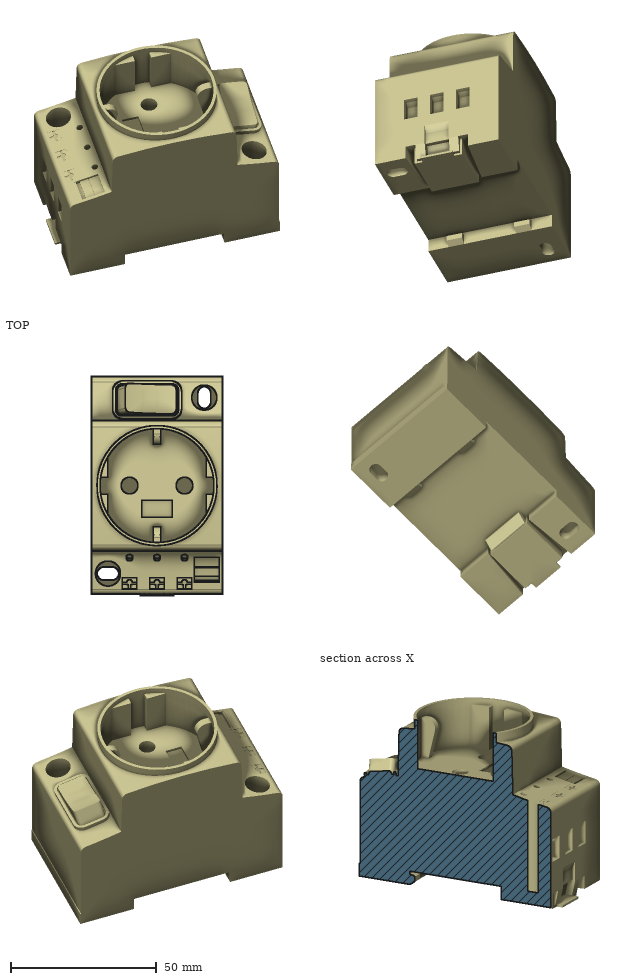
import cadquery as cq
import math

WIDTH = 45.0
BACK_FOOT_Y = 37.6
SHOULDER_END_Y = 37.3
FRONT_Y = -SHOULDER_END_Y
SHOULDER_END_Z = 35.9
SHOULDER_ROOT_Z = 38.65
SHOULDER_SAG = 0.15
TOWER_BASE_Y = 22.5
TOWER_TOP_Y = 22.05
TOWER_EDGE_Z = 55.9
CROWN_Z = 57.15
EDGE_RADIUS = 2.05
RAIL_HALF_WIDTH = 17.8
RAIL_HEIGHT = 4.75

RING_RADIUS = 20.6
CUP_RADIUS = 19.55
RING_TOP_Z = 59.85
CUP_DEPTH = 17.5
CUP_FLOOR_Z = RING_TOP_Z - CUP_DEPTH
PIN_RADIUS = 2.9
PIN_X = 9.4
PIN_DEPTH = 9.05
SHUTTER_SIZE = (10.4, 5.9)
SHUTTER_Y = -8.0
SHUTTER_DEPTH = 1.0
EARTH_WIDTH = 2.6
EARTH_TOP_Z = 56.6
EARTH_NOSE_Y = 14.2
EARTH_RADIUS = 3.55
EARTH_FOOT_Y = 16.8
RIB_FACE_X = 16.8
RIB_TOP_Z = 57.7
RIB_GAP = 5.8

MOUNT_FRONT = (-16.8, -30.2, 0)
MOUNT_BACK = (16.2, 30.2, 90)
MOUNT_BORE_RADIUS = 4.3
MOUNT_SLOT = (7.4, 4.4)
MOUNT_FLOOR_Z = RAIL_HEIGHT

POLE_PITCH = 9.4
LAMP_Y = -24.75
LAMP_RADIUS = 1.1
LAMP_DEPTH = 4.5
SCREW_Y = (-35.55, -31.6)
SCREW_WIDTH = 4.9
SCREW_RECESS = 0.2
DRIVE_DEPTH = 0.5
DRIVE_SLOT = 0.75
DRIVE_SLOT_Y = -33.6
DRIVE_HUB_Y = -33.35
DRIVE_HUB_RADIUS = 1.0
WIRE_SIZE = (4.9, 8.1)
WIRE_LIP_SIZE = (4.6, 7.55)
WIRE_END_SIZE = (4.5, 5.3)
WIRE_Z = 20.4
WIRE_LIP_DEPTH = 1.4
WIRE_FUNNEL_DEPTH = 1.65

WINDOW_X = (12.8, 21.35)
WINDOW_BANDS = [
    (-28.1, -24.7, 0.9),
    (-28.4, -28.1, 1.1),
    (-31.3, -28.4, 0.9),
    (-32.7, -31.3, 1.4),
    (-33.2, -32.7, 0.3),
]

SWITCH_X = -3.4
SWITCH_Y = 29.2
SWITCH_FRAME = (23.6, 13.1)
SWITCH_FRAME_RADIUS = 3.4
SWITCH_FRAME_HEIGHT = 1.35
SWITCH_RIM = 1.0
SWITCH_GAP = 0.2
SWITCH_GAP_DEPTH = 0.75
ROCKER_WIDTH = 10.1
ROCKER_HIGH = 5.65
ROCKER_MID = 3.25
ROCKER_LOW = 2.2
ROCKER_HIGH_INSET = 3.2
ROCKER_LOW_INSET = 0.7
ROCKER_CORNER_RADIUS = 1.5

CLIP_HALF_WIDTH = 8.6
CLIP_WALL = 0.8
CLIP_BOTTOM_Z = -1.8
CLIP_FLOOR = 0.75
CLIP_BACK_Y = -17.9
CLIP_FRONT_Y = -35.55
TONGUE_HALF_WIDTH = 5.7
TONGUE_FRONT_Y = -37.9
BLOCK_BOTTOM_Z = -0.5
BLOCK_TOP_Y = FRONT_Y
BLOCK_BOTTOM_Y = -36.1
CATCH_BOTTOM_Y = -17.5
CATCH_TIP_Y = -14.6
CATCH_TIP_LOW_Z = 3.0
CATCH_TIP_HIGH_Z = 3.55
CATCH_ROOT_Y = -16.75
CATCH_ROOT_Z = 4.0

GRIP_HALF_WIDTH = 4.4
GRIP_DEPTH = 2.6
GRIP_TOP_Z = 5.05
POCKET_DEPTH = 1.05
POCKET_FLAT_TOP_Z = 9.35
POCKET_TOP_Z = 12.0
BAY_FRONT_HALF_WIDTH = 11.3
BAY_BACK_HALF_WIDTH = 9.5

HOOK_X = (BAY_BACK_HALF_WIDTH, 15.1)
HOOK_TIP_Y = 15.7
HOOK_TIP_Z = (1.35, 3.25)
HOOK_CHAMFER_Y = 16.2
HOOK_CHAMFER_Z = 3.55
HOOK_ROOT_Z = 3.85

EMBED = 0.4

SHOULDER_SLOPE = math.atan2(SHOULDER_ROOT_Z - SHOULDER_END_Z, SHOULDER_END_Y - TOWER_BASE_Y)
POLES = [-POLE_PITCH, 0, POLE_PITCH]


def box(x_range, y_range, z_range):
    size = [high - low for low, high in (x_range, y_range, z_range)]
    return cq.Workplane().box(*size, centered=False).translate((x_range[0], y_range[0], z_range[0]))


def prism_along_x(points, half_width):
    """Extrude a closed (y, z) outline symmetrically about X = 0."""
    return cq.Workplane("YZ").polyline(points).close().extrude(half_width, both=True)


def shoulder_plane(x, y):
    """Plane lying on the sloped shoulder at (x, y), with its normal pointing outward."""
    z = SHOULDER_ROOT_Z - (abs(y) - TOWER_BASE_Y) * math.tan(SHOULDER_SLOPE)
    normal = (0, math.copysign(math.sin(SHOULDER_SLOPE), y), math.cos(SHOULDER_SLOPE))
    return cq.Workplane(cq.Plane(origin=(x, y, z), xDir=(1, 0, 0), normal=normal))


def make_housing():
    outline = (
        cq.Workplane("YZ")
        .moveTo(FRONT_Y, 0)
        .lineTo(FRONT_Y, SHOULDER_END_Z)
        .sagittaArc((-TOWER_BASE_Y, SHOULDER_ROOT_Z), -SHOULDER_SAG)
        .lineTo(-TOWER_TOP_Y, TOWER_EDGE_Z)
        .threePointArc((0, CROWN_Z), (TOWER_TOP_Y, TOWER_EDGE_Z))
        .lineTo(TOWER_BASE_Y, SHOULDER_ROOT_Z)
        .sagittaArc((SHOULDER_END_Y, SHOULDER_END_Z), -SHOULDER_SAG)
        .lineTo(SHOULDER_END_Y, RAIL_HEIGHT)
        .lineTo(BACK_FOOT_Y, RAIL_HEIGHT)
        .lineTo(BACK_FOOT_Y, 0)
        .lineTo(RAIL_HALF_WIDTH, 0)
        .lineTo(RAIL_HALF_WIDTH, RAIL_HEIGHT)
        .lineTo(-RAIL_HALF_WIDTH, RAIL_HEIGHT)
        .lineTo(-RAIL_HALF_WIDTH, 0)
        .close()
    )
    housing = outline.extrude(WIDTH / 2, both=True)
    for y, z in ((SHOULDER_END_Y, SHOULDER_END_Z), (TOWER_TOP_Y, TOWER_EDGE_Z)):
        for side in (-y, y):
            housing = housing.edges(cq.NearestToPointSelector((0, side, z))).fillet(EDGE_RADIUS)
    return housing


def make_earth_contact():
    """Spring contact at the back of the cup."""
    arc_middle = EARTH_RADIUS * (1 - math.sqrt(0.5))
    return (
        cq.Workplane("YZ")
        .moveTo(RING_RADIUS, CUP_FLOOR_Z)
        .lineTo(RING_RADIUS, EARTH_TOP_Z)
        .lineTo(EARTH_NOSE_Y + EARTH_RADIUS, EARTH_TOP_Z)
        .threePointArc(
            (EARTH_NOSE_Y + arc_middle, EARTH_TOP_Z - arc_middle),
            (EARTH_NOSE_Y, EARTH_TOP_Z - EARTH_RADIUS),
        )
        .lineTo(EARTH_FOOT_Y, CUP_FLOOR_Z)
        .close()
        .extrude(EARTH_WIDTH / 2, both=True)
    )


def add_socket(body):
    ring_base = cq.Workplane().workplane(offset=CUP_FLOOR_Z)
    body = body.union(ring_base.circle(RING_RADIUS).extrude(CUP_DEPTH))
    body = body.cut(ring_base.circle(CUP_RADIUS).extrude(CUP_DEPTH))

    pins = ring_base.pushPoints([(-PIN_X, 0), (PIN_X, 0)]).circle(PIN_RADIUS)
    body = body.cut(pins.extrude(-PIN_DEPTH))
    body = body.cut(ring_base.center(0, SHUTTER_Y).rect(*SHUTTER_SIZE).extrude(-SHUTTER_DEPTH))

    ribs = ring_base.circle(CUP_RADIUS + EMBED).extrude(RIB_TOP_Z - CUP_FLOOR_Z)
    for size in ((2 * RIB_FACE_X, 2 * RING_RADIUS), (2 * RING_RADIUS, RIB_GAP)):
        ribs = ribs.cut(ring_base.rect(*size).extrude(CUP_DEPTH))
    body = body.union(ribs)

    limit = ring_base.circle(CUP_RADIUS + EMBED).extrude(CUP_DEPTH)
    contact = make_earth_contact().intersect(limit)
    return body.union(contact).union(contact.mirror("XZ"))


def cut_mounting_holes(body):
    for x, y, angle in (MOUNT_FRONT, MOUNT_BACK):
        hole = cq.Workplane().center(x, y)
        bore = hole.workplane(offset=MOUNT_FLOOR_Z).circle(MOUNT_BORE_RADIUS).extrude(CROWN_Z)
        body = body.cut(bore).cut(hole.slot2D(*MOUNT_SLOT, angle).extrude(CROWN_Z))
    return body


def make_clamp_screw_recess(x):
    """Shallow rectangle with a deeper T-shaped drive slot and a round hub."""
    length = SCREW_Y[1] - SCREW_Y[0]
    middle_y = sum(SCREW_Y) / 2
    slot_y = DRIVE_SLOT_Y - middle_y
    hub_y = DRIVE_HUB_Y - middle_y
    leg_length = slot_y + length / 2
    leg_y = slot_y - leg_length / 2

    def on_shoulder(y=0):
        return shoulder_plane(x, middle_y).center(0, y)

    recess = on_shoulder().rect(SCREW_WIDTH, length).extrude(SCREW_RECESS, both=True)
    recess = recess.union(on_shoulder(slot_y).rect(SCREW_WIDTH, DRIVE_SLOT).extrude(-DRIVE_DEPTH))
    recess = recess.union(on_shoulder(leg_y).rect(DRIVE_SLOT, leg_length).extrude(-DRIVE_DEPTH))
    return recess.union(on_shoulder(hub_y).circle(DRIVE_HUB_RADIUS).extrude(-DRIVE_DEPTH))


def make_wire_opening(x):
    """Slightly tapered lip followed by a funnel whose floor and roof converge."""

    def taper(start, depth, outer, inner):
        mouth = cq.Workplane("XZ", origin=(x, FRONT_Y + start, WIRE_Z)).rect(*outer)
        return mouth.workplane(offset=-depth).rect(*inner).loft()

    lip = taper(0, WIRE_LIP_DEPTH, WIRE_SIZE, WIRE_LIP_SIZE)
    return lip.union(taper(WIRE_LIP_DEPTH, WIRE_FUNNEL_DEPTH, WIRE_LIP_SIZE, WIRE_END_SIZE))


def cut_poles(body):
    for x in POLES:
        lamp = shoulder_plane(x, LAMP_Y).circle(LAMP_RADIUS)
        body = body.cut(lamp.extrude(LAMP_DEPTH, both=True))
        body = body.cut(make_clamp_screw_recess(x))
        body = body.cut(make_wire_opening(x))
    return body


def cut_window(body):
    x_middle = sum(WINDOW_X) / 2
    for front, back, depth in WINDOW_BANDS:
        band = shoulder_plane(x_middle, (front + back) / 2)
        size = (WINDOW_X[1] - WINDOW_X[0], (back - front) / math.cos(SHOULDER_SLOPE))
        body = body.cut(band.rect(*size).extrude(-depth)).cut(band.rect(*size).extrude(EMBED))
    return body


def make_switch():
    """Frame and rocker built flat, centred on the origin."""
    length, width = SWITCH_FRAME
    base = cq.Workplane().workplane(offset=-EMBED)
    frame = base.rect(length, width).extrude(EMBED + SWITCH_FRAME_HEIGHT)
    frame = frame.edges("|Z").fillet(SWITCH_FRAME_RADIUS)
    gap_floor = cq.Workplane().workplane(offset=SWITCH_FRAME_HEIGHT - SWITCH_GAP_DEPTH)
    opening = gap_floor.rect(length - 2 * SWITCH_RIM, width - 2 * SWITCH_RIM)
    opening = opening.extrude(SWITCH_GAP_DEPTH).edges("|Z").fillet(SWITCH_FRAME_RADIUS - SWITCH_RIM)

    end_x = length / 2 - SWITCH_RIM - SWITCH_GAP
    rocker = (
        cq.Workplane("XZ")
        .moveTo(-end_x, 0)
        .lineTo(-end_x + ROCKER_HIGH_INSET, ROCKER_HIGH)
        .threePointArc((0, ROCKER_MID), (end_x - ROCKER_LOW_INSET, ROCKER_LOW))
        .lineTo(end_x, 0)
        .close()
        .extrude(ROCKER_WIDTH / 2, both=True)
    )
    rocker = rocker.faces("<X or >X").edges("not |Y").fillet(ROCKER_CORNER_RADIUS)
    return frame.cut(opening).union(rocker)


def add_switch(body):
    on_shoulder = shoulder_plane(SWITCH_X, SWITCH_Y).plane.location
    return body.union(cq.Workplane(make_switch().val().moved(on_shoulder)))


def add_rail_clip(body):
    """Sliding clip in a tapered bay of the front foot, with a finger pocket above it."""
    bay = (
        cq.Workplane()
        .moveTo(-BAY_FRONT_HALF_WIDTH, FRONT_Y)
        .lineTo(BAY_FRONT_HALF_WIDTH, FRONT_Y)
        .lineTo(BAY_BACK_HALF_WIDTH, -RAIL_HALF_WIDTH)
        .lineTo(-BAY_BACK_HALF_WIDTH, -RAIL_HALF_WIDTH)
        .close()
        .extrude(RAIL_HEIGHT)
    )
    pocket_back_y = FRONT_Y + POCKET_DEPTH
    pocket = prism_along_x(
        [
            (FRONT_Y, RAIL_HEIGHT),
            (pocket_back_y, RAIL_HEIGHT),
            (pocket_back_y, POCKET_FLAT_TOP_Z),
            (FRONT_Y, POCKET_TOP_Z),
        ],
        GRIP_HALF_WIDTH,
    )

    inner_half_width = CLIP_HALF_WIDTH - CLIP_WALL
    block = prism_along_x(
        [
            (BLOCK_TOP_Y, RAIL_HEIGHT),
            (BLOCK_BOTTOM_Y, BLOCK_BOTTOM_Z),
            (CATCH_BOTTOM_Y, BLOCK_BOTTOM_Z),
            (CATCH_TIP_Y, CATCH_TIP_LOW_Z),
            (CATCH_TIP_Y, CATCH_TIP_HIGH_Z),
            (CATCH_ROOT_Y, CATCH_ROOT_Z),
            (CATCH_ROOT_Y, RAIL_HEIGHT),
        ],
        inner_half_width,
    )
    grip = prism_along_x(
        [
            (BLOCK_TOP_Y, GRIP_TOP_Z),
            (BLOCK_TOP_Y + GRIP_DEPTH, GRIP_TOP_Z),
            (BLOCK_BOTTOM_Y + GRIP_DEPTH, BLOCK_BOTTOM_Z),
            (BLOCK_TOP_Y, BLOCK_BOTTOM_Z),
        ],
        GRIP_HALF_WIDTH,
    )
    body = body.cut(bay).cut(pocket).cut(grip)

    clip_y = (CLIP_FRONT_Y, CLIP_BACK_Y)
    floor_z = (CLIP_BOTTOM_Z, CLIP_BOTTOM_Z + CLIP_FLOOR)
    clip = block.cut(grip)
    clip = clip.union(box((-CLIP_HALF_WIDTH, CLIP_HALF_WIDTH), clip_y, floor_z))
    clip = clip.union(
        box((-TONGUE_HALF_WIDTH, TONGUE_HALF_WIDTH), (TONGUE_FRONT_Y, CLIP_BACK_Y), floor_z)
    )
    for low_x in (-CLIP_HALF_WIDTH, inner_half_width):
        clip = clip.union(box((low_x, low_x + CLIP_WALL), clip_y, (CLIP_BOTTOM_Z, RAIL_HEIGHT)))
    return body.union(clip)


def add_fixed_hooks(body):
    """Two hooks that catch the rail from the back foot."""
    buried_y = RAIL_HALF_WIDTH + EMBED
    outline = [
        (buried_y, 0),
        (RAIL_HALF_WIDTH, 0),
        (HOOK_TIP_Y, HOOK_TIP_Z[0]),
        (HOOK_TIP_Y, HOOK_TIP_Z[1]),
        (HOOK_CHAMFER_Y, HOOK_CHAMFER_Z),
        (RAIL_HALF_WIDTH, HOOK_ROOT_Z),
        (buried_y, HOOK_ROOT_Z),
    ]
    hook = prism_along_x(outline, (HOOK_X[1] - HOOK_X[0]) / 2)
    middle_x = sum(HOOK_X) / 2
    for x in (-middle_x, middle_x):
        body = body.union(hook.translate((x, 0, 0)))
    return body


result = make_housing()
result = add_socket(result)
result = cut_mounting_holes(result)
result = cut_poles(result)
result = cut_window(result)
result = add_switch(result)
result = add_rail_clip(result)
result = add_fixed_hooks(result)